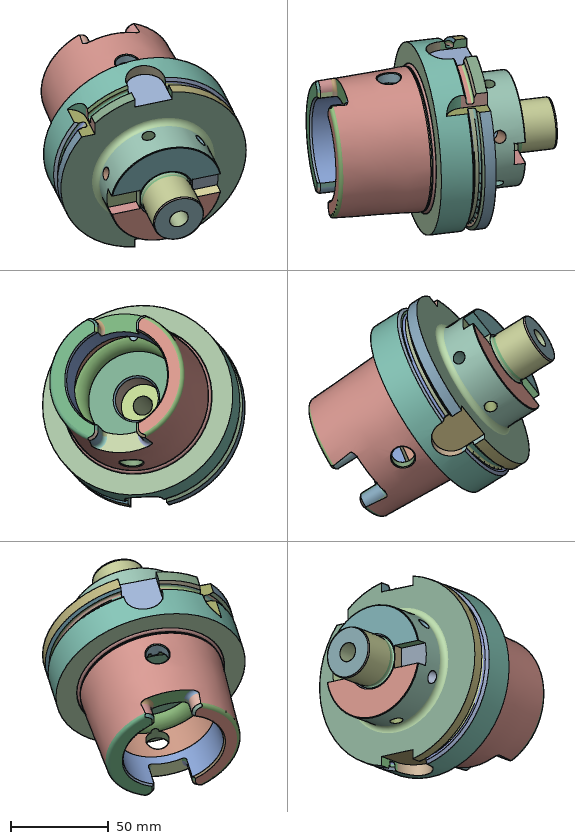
import cadquery as cq
import math

total_length = 121.0

shank_length = 50.0
taper_end_x = 47.5
shank_start_radius = 35.5
taper_end_radius = 37.8
shank_edge_round = 1.9
relief_radius = 37.5
relief_start_x = 48.3
relief_end_x = 48.9
relief_round = 1.3
relief_outer_radius = 39.1

mouth_radius = 53.0 / 2
mouth_chamfer_length = 1.2
mouth_chamfer_radius = 27.2
mouth_end_x = 20.0
chamber_radius = 63.0 / 2
chamber_round_start_x = 40.7
chamber_floor_edge_radius = 25.0
thread_radius = 22.5 / 2
thread_mouth_radius = 24.5 / 2
thread_depth = 15.0
through_radius = 10.0 / 2

drive_slot_half_width = 10.0
drive_slot_shoulder_z = 32.3
drive_slot_shoulder_round = 5.0
drive_slot_floor_round = 1.9
drive_slot_mouth_chamfer = 1.5
drive_slot_mouth_angle = 45.0
upper_drive_slot_depth = 10.0
lower_drive_slot_depth = 15.0

cross_hole_x = 35.1
cross_hole_radius = 12.0 / 2
cross_hole_chamfer = 0.5

flange_radius = 100.0 / 2
flange_end_x = 79.0
groove_center_x = 69.9
groove_floor_radius = 45.9
groove_half_width = 2.12
groove_mouth_half_width = 3.1
groove_floor_round = 1.1
groove_flare_angle = 30.0

flange_slot_start_x = 55.2
flange_slot_radius = 10.0
flange_slot_floor = 44.0
corner_notch_side = 31.7
corner_notch_floor = 31.5

hub_radius = 60.0 / 2
hub_end_x = 100.0
hub_fillet = 3.0
hub_chamfer = 0.4
key_slot_start_x = 93.9
key_slot_width = 12.1
key_slot_floor_y = 14.2
hub_hole_x = 86.5
hub_hole_radius = 6.7 / 2
hub_hole_depth = 18.8
hub_hole_count = 6
hub_hole_first_angle = 40.0
drill_point_angle = 118.0

neck_radius = 26.4 / 2
pilot_radius = 27.0 / 2
neck_round = 0.7
neck_end_x = 101.2
neck_face_recess = 0.4
neck_recess_radius = 14.6
pilot_start_x = 102.6
pilot_chamfer_length = 0.8
pilot_chamfer_depth = 0.4

clearance = 6.0


def revolve_about_x(profile):
    return profile.close().revolve(360, (0, 0, 0), (1, 0, 0))


def cylinder_z(x, y, radius, z_from, z_to):
    plane = cq.Workplane("XY", origin=(x, y, z_from))
    return plane.circle(radius).extrude(z_to - z_from)


def make_body():
    """Solid of revolution: taper shank, flange blank, hub and pilot, with undercut shoulders."""
    recess_x = hub_end_x - neck_face_recess
    return revolve_about_x(
        cq.Workplane("XY")
        .moveTo(0, 0)
        .lineTo(0, shank_start_radius - shank_edge_round)
        .radiusArc((shank_edge_round, shank_start_radius), shank_edge_round)
        .lineTo(taper_end_x, taper_end_radius)
        .lineTo(relief_start_x, relief_radius)
        .lineTo(relief_end_x, relief_radius)
        .radiusArc((relief_end_x + relief_round, relief_radius + relief_round), relief_round)
        .lineTo(shank_length, relief_outer_radius)
        .lineTo(shank_length, flange_radius)
        .lineTo(flange_end_x, flange_radius)
        .lineTo(flange_end_x, hub_radius + hub_fillet)
        .radiusArc((flange_end_x + hub_fillet, hub_radius), -hub_fillet)
        .lineTo(hub_end_x - hub_chamfer, hub_radius)
        .lineTo(hub_end_x, hub_radius - hub_chamfer)
        .lineTo(hub_end_x, neck_recess_radius)
        .lineTo(recess_x, neck_radius + neck_round)
        .radiusArc((recess_x + neck_round, neck_radius), -neck_round)
        .lineTo(neck_end_x, neck_radius)
        .lineTo(pilot_start_x, pilot_radius)
        .lineTo(total_length - pilot_chamfer_length, pilot_radius)
        .lineTo(total_length, pilot_radius - pilot_chamfer_depth)
        .lineTo(total_length, 0)
    )


def make_gripper_groove():
    """Ring cutter: round-bottomed groove with a flared mouth."""
    slope = math.tan(math.radians(groove_flare_angle))
    flare_radius = flange_radius - (groove_mouth_half_width - groove_half_width) / slope
    overshoot_half_width = groove_mouth_half_width + clearance * slope
    round_end_radius = groove_floor_radius + groove_floor_round
    left = groove_center_x - groove_half_width
    right = groove_center_x + groove_half_width
    return revolve_about_x(
        cq.Workplane("XY")
        .moveTo(groove_center_x - overshoot_half_width, flange_radius + clearance)
        .lineTo(left, flare_radius)
        .lineTo(left, round_end_radius)
        .radiusArc((left + groove_floor_round, groove_floor_radius), -groove_floor_round)
        .lineTo(right - groove_floor_round, groove_floor_radius)
        .radiusArc((right, round_end_radius), -groove_floor_round)
        .lineTo(right, flare_radius)
        .lineTo(groove_center_x + overshoot_half_width, flange_radius + clearance)
    )


def make_bore():
    """Chamfered mouth, wider clamping chamber, threaded seat and through bore."""
    floor_round = chamber_radius - chamber_floor_edge_radius
    floor_x = chamber_round_start_x + floor_round
    thread_chamfer = thread_mouth_radius - thread_radius
    thread_end_x = floor_x + thread_depth
    return revolve_about_x(
        cq.Workplane("XY")
        .moveTo(0, 0)
        .lineTo(0, mouth_chamfer_radius)
        .lineTo(mouth_chamfer_length, mouth_radius)
        .lineTo(mouth_end_x, mouth_radius)
        .lineTo(mouth_end_x, chamber_radius)
        .lineTo(chamber_round_start_x, chamber_radius)
        .radiusArc((floor_x, chamber_floor_edge_radius), -floor_round)
        .lineTo(floor_x, thread_mouth_radius)
        .lineTo(floor_x + thread_chamfer, thread_radius)
        .lineTo(thread_end_x, thread_radius)
        .lineTo(thread_end_x, through_radius)
        .lineTo(total_length, through_radius)
        .lineTo(total_length, 0)
    )


def drive_slot_profile():
    """Cross-section of a slot on the +Z side, widening over rounded shoulders."""
    inner = drive_slot_half_width
    outer = drive_slot_half_width + drive_slot_shoulder_round
    round_start_z = drive_slot_shoulder_z - drive_slot_shoulder_round
    far_y = outer + clearance
    top_z = taper_end_radius + clearance
    return (
        cq.Workplane("YZ")
        .moveTo(-inner, 0)
        .lineTo(inner, 0)
        .lineTo(inner, round_start_z)
        .radiusArc((outer, drive_slot_shoulder_z), drive_slot_shoulder_round)
        .lineTo(far_y, drive_slot_shoulder_z)
        .lineTo(far_y, top_z)
        .lineTo(-far_y, top_z)
        .lineTo(-far_y, drive_slot_shoulder_z)
        .lineTo(-outer, drive_slot_shoulder_z)
        .radiusArc((-inner, round_start_z), drive_slot_shoulder_round)
        .close()
    )


def make_drive_slot(depth):
    """Slot cutter with a rounded floor edge and a chamfered mouth."""
    mouth = drive_slot_profile().offset2D(drive_slot_mouth_chamfer, "intersection")
    flare = mouth.extrude(drive_slot_mouth_chamfer, taper=drive_slot_mouth_angle)
    slot = drive_slot_profile().extrude(depth)
    slot = slot.faces(">X").edges("not(<Z or >Z)").fillet(drive_slot_floor_round)
    return slot.union(flare)


def chamfer_cross_hole(body, side):
    """Even chamfer where the cross hole leaves the taper; side is +1 for +Z, -1 for -Z."""
    reach = 2 * cross_hole_radius
    mouth_box = cq.selectors.BoxSelector(
        (cross_hole_x - reach, -reach, side * chamber_radius),
        (cross_hole_x + reach, reach, side * flange_radius),
    )
    return body.edges(mouth_box).edges("%BSPLINE").chamfer(cross_hole_chamfer)


def make_flange_slot(center_y, floor_z):
    """Round-ended slot cutter, open towards the hub."""
    start_center_x = flange_slot_start_x + flange_slot_radius
    height = flange_radius + clearance - floor_z
    run = flange_end_x - start_center_x
    straight = cq.Workplane("XY").box(run, 2 * flange_slot_radius, height, centered=(False, True, False))
    round_end = cylinder_z(start_center_x, center_y, flange_slot_radius, floor_z, floor_z + height)
    return straight.translate((start_center_x, center_y, floor_z)).union(round_end)


def make_key_slot():
    """Cutter for the key slot on the +Y side of the hub end."""
    length = hub_end_x - key_slot_start_x
    depth = hub_radius + clearance - key_slot_floor_y
    block = cq.Workplane("XY").box(length, depth, key_slot_width, centered=(False, False, True))
    return block.translate((key_slot_start_x, key_slot_floor_y, 0))


def make_hub_hole(angle):
    """Radial blind hole with a drill point, turned about X from the +Y side."""
    tip_length = hub_hole_radius / math.tan(math.radians(drill_point_angle / 2))
    floor_y = hub_radius - hub_hole_depth
    drill = (
        cq.Workplane("XY")
        .moveTo(hub_hole_x, floor_y - tip_length)
        .lineTo(hub_hole_x + hub_hole_radius, floor_y)
        .lineTo(hub_hole_x + hub_hole_radius, hub_radius + clearance)
        .lineTo(hub_hole_x, hub_radius + clearance)
        .close()
        .revolve(360, (hub_hole_x, 0, 0), (hub_hole_x, 1, 0))
    )
    return drill.rotate((0, 0, 0), (1, 0, 0), angle)


result = make_body().cut(make_gripper_groove())

result = result.cut(make_drive_slot(upper_drive_slot_depth))
result = result.cut(make_drive_slot(lower_drive_slot_depth).mirror("XY"))

result = result.cut(make_bore())

result = result.cut(cylinder_z(cross_hole_x, 0, cross_hole_radius, -flange_radius, flange_radius))
for side in (-1, 1):
    result = chamfer_cross_hole(result, side)

flange_slot = make_flange_slot(0, flange_slot_floor)
result = result.cut(flange_slot).cut(flange_slot.mirror("XY"))
result = result.cut(make_flange_slot(-corner_notch_side - flange_slot_radius, corner_notch_floor))

key_slot = make_key_slot()
result = result.cut(key_slot).cut(key_slot.mirror("XZ"))

for index in range(hub_hole_count):
    result = result.cut(make_hub_hole(hub_hole_first_angle + index * 360 / hub_hole_count))